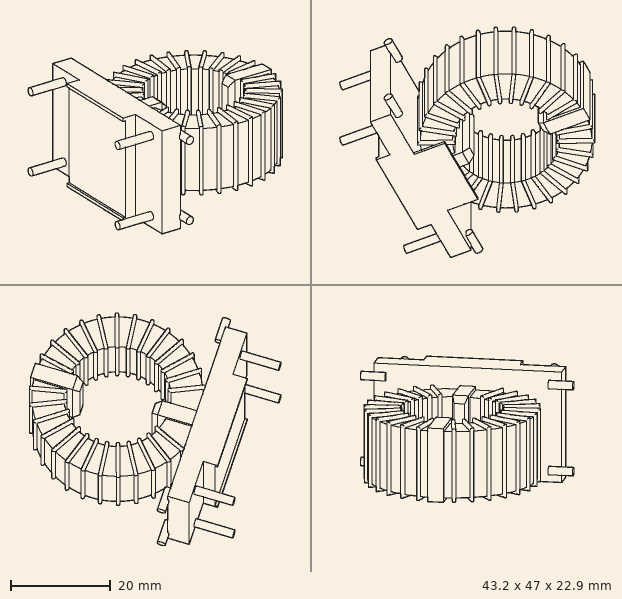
import cadquery as cq


core_outer_radius = 17.15
core_inner_radius = 10.7
core_height = 13.7

wire_width = 0.75
wire_edge_radius = 0.35
wire_face_proud = 0.75
wire_radial_proud = 0.55
turn_pitch_angle = 12.0
first_turn_angle = turn_pitch_angle / 2
turns_to_far_clip = 7
turns_to_base = 6

clip_width = 3.2
clip_height = core_height + 2 * wire_face_proud
clip_far_y = 17.75
clip_tip_y = 7.55
clip_tip_length = 1.35
clip_tip_side_chamfer = 0.5

base_length = 38.25
base_height = 22.85
base_back_y = -16.6
base_thickness = 4.5
base_front_y = base_back_y - base_thickness
pad_length = 19.65
pad_thickness = 3.0
channel_depth = 0.5
channel_rim = 0.75

shelf_length = 15.8
shelf_depth = 6.65
shelf_thickness = 0.6

pin_diameter = 1.75
pin_spacing_z = 17.75
front_pin_spacing_x = 30.45
total_depth = 47.0
front_pin_end_y = clip_far_y - total_depth
side_pin_span = 43.2
side_pin_length = 5.0
side_pin_y = -16.02
side_pin_inner_x = side_pin_span / 2 - side_pin_length


def block(length, y_back, y_front, height, z_center=0.0):
    """Box centred on X that spans y_front to y_back."""
    depth = y_back - y_front
    y_center = (y_back + y_front) / 2
    return cq.Workplane("XY").box(length, depth, height).translate((0, y_center, z_center))


def make_core():
    ring = cq.Workplane("XY").circle(core_outer_radius).circle(core_inner_radius)
    return ring.extrude(core_height / 2, both=True)


def make_turn():
    """One wire turn along +X; its middle lies inside the core."""
    inner = core_inner_radius - wire_radial_proud
    outer = core_outer_radius + wire_radial_proud
    height = core_height + 2 * wire_face_proud
    turn = cq.Workplane("XY").box(outer - inner, wire_width, height)
    turn = turn.faces("<Y or >Y").edges().fillet(wire_edge_radius)
    return turn.translate(((inner + outer) / 2, 0, 0))


def turn_angles():
    """Angles of the turns on the +X side, from the base up to the far clip."""
    return [
        first_turn_angle + turn_pitch_angle * index
        for index in range(-turns_to_base, turns_to_far_clip)
    ]


def make_clip(outer_y):
    """Clip from outer_y (positive) inward to its tapered tip, on the +Y side."""
    clip = block(clip_width, outer_y, clip_tip_y, clip_height)
    clip = clip.faces("<Y").edges("|Z").chamfer(clip_tip_length, clip_tip_side_chamfer)
    return clip.faces("<Y").edges("|X").chamfer(clip_tip_length)


def make_base():
    pad_front_y = base_front_y - pad_thickness
    base = block(base_length, base_back_y, base_front_y, base_height)
    base = base.union(block(pad_length, base_front_y, pad_front_y, base_height))
    channel_height = base_height - 2 * channel_rim
    channel = block(pad_length, pad_front_y + channel_depth, pad_front_y, channel_height)
    shelf_z = (shelf_thickness - base_height) / 2
    shelf = block(shelf_length, base_back_y + shelf_depth, base_back_y, shelf_thickness, shelf_z)
    return base.cut(channel).union(shelf)


def make_front_pins():
    return (
        cq.Workplane("XZ", origin=(0, base_front_y, 0))
        .rarray(front_pin_spacing_x, pin_spacing_z, 2, 2)
        .circle(pin_diameter / 2)
        .extrude(base_front_y - front_pin_end_y)
    )


def make_side_pins():
    """Pair of pins on the +X side, partly sunk in the back of the base."""
    return (
        cq.Workplane("YZ", origin=(side_pin_inner_x, side_pin_y, 0))
        .rarray(0.45, pin_spacing_z, 1, 2)
        .circle(pin_diameter / 2)
        .extrude(side_pin_length)
    )


result = make_core()

turn = make_turn()
for angle in turn_angles():
    right_turn = turn.rotate((0, 0, 0), (0, 0, 1), angle)
    result = result.union(right_turn).union(right_turn.mirror("YZ"))

result = result.union(make_clip(clip_far_y))
result = result.union(make_clip(-base_back_y).mirror("XZ"))
result = result.union(make_base())
result = result.union(make_front_pins())

side_pins = make_side_pins()
result = result.union(side_pins).union(side_pins.mirror("YZ"))